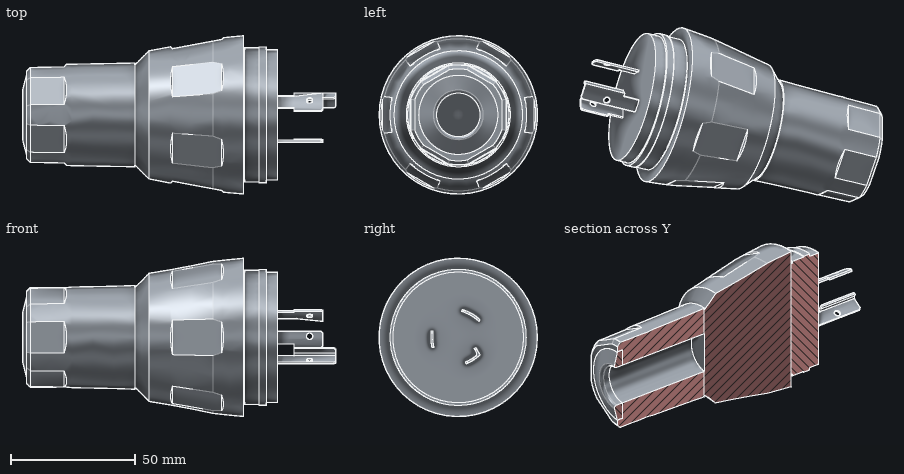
import cadquery as cq
import math


OVERALL_LENGTH = 125.87
SIDES = 6

NUT_FRONT = 1.5
NUT_REAR = 45.15
NUT_FRONT_RADIUS = 20.1
NUT_REAR_RADIUS = 20.9
NUT_CHAMFER = 1.6
NUT_TAPER = (NUT_REAR_RADIUS - NUT_FRONT_RADIUS) / (NUT_REAR - NUT_FRONT)
NUT_FLAT_APOTHEM = 19.1
NUT_FLAT_END = 16.7

GROMMET_RADIUS = 15.9
GROMMET_MOUTH_RADIUS = 10.0
GROMMET_REAR = 4.0
CABLE_BORE_RADIUS = 8.75
LIP_RADIUS = GROMMET_MOUTH_RADIUS - CABLE_BORE_RADIUS

SHOULDER_X = 50.8
SHOULDER_RADIUS = 25.8
SKIRT_X = 76.4
SKIRT_RADIUS = 30.6
HOUSING_REAR = 88.75
HOUSING_REAR_RADIUS = 31.85
SKIRT_BULGE = 0.04
HOUSING_SLOPE = (SKIRT_RADIUS - SHOULDER_RADIUS) / (SKIRT_X - SHOULDER_X)
POCKET_DEPTH = 0.88
POCKET_FRONT = 60.2
POCKET_REAR = 80.0

NECK_RADIUS = 26.15
NECK_LENGTH = 0.4
CARRIER_RADIUS = 27.0
BAND_FRONT = 94.9
BAND_REAR = 97.9
BAND_RADIUS = 27.35
NOSE_RADIUS = 26.25
CARRIER_REAR = 102.45

BLADE_CREST = 11.0
BLADE_OUTER_RADIUS = 18.0
BLADE_THICKNESS = 0.8
BLADE_INNER_RADIUS = BLADE_OUTER_RADIUS - BLADE_THICKNESS
BLADE_CURVE_CENTRE = BLADE_CREST - BLADE_OUTER_RADIUS
BLADE_LOW_EDGE = -2.5
BLADE_STEM_EDGE = 2.75
BLADE_WIDE_EDGE = 4.1
BLADE_STEP_X = 109.0
BLADE_END = 120.6
BLADE_CORNER = 0.7
BLADE_HOLE_X = 115.3
BLADE_HOLE_OFFSET = -0.45
BLADE_HOLE_DIAMETER = 2.5
FLARE_START = 110.0
HOOK_THICKNESS = 0.75
HOOK_TIP = 7.1
HOOK_BEVEL = 0.8

LINE_BLADE_ANGLE = 180.0
FLARED_BLADE_ANGLE = 60.0
GROUND_BLADE_ANGLE = 300.0

CUTTER_REACH = 10.0


def turned(outline):
    """Revolve a closed wire drawn as (X, radius) about the X axis."""
    return outline.revolve(360, (0, 0, 0), (1, 0, 0))


def about_axis(shape, angle):
    return shape.rotate((0, 0, 0), (1, 0, 0), angle)


def cut_all_round(body, profile, width):
    """Cut a straight-sided (X, radius) profile into the body at every side, starting on +Y."""
    cutter = cq.Workplane("XY").polyline(profile).close().extrude(width / 2, both=True)
    for side in range(SIDES):
        body = body.cut(about_axis(cutter, side * 360 / SIDES))
    return body


def make_nut():
    outline = (
        cq.Workplane("XY")
        .moveTo(NUT_FRONT, GROMMET_RADIUS)
        .lineTo(NUT_FRONT, NUT_FRONT_RADIUS - NUT_CHAMFER)
        .lineTo(NUT_FRONT + NUT_CHAMFER, NUT_FRONT_RADIUS)
        .lineTo(NUT_REAR, NUT_REAR_RADIUS)
        .lineTo(NUT_REAR, CABLE_BORE_RADIUS)
        .lineTo(GROMMET_REAR, CABLE_BORE_RADIUS)
        .lineTo(GROMMET_REAR, GROMMET_RADIUS)
        .close()
    )
    flat_start = NUT_FRONT + NUT_CHAMFER
    flat_end_apothem = NUT_FLAT_APOTHEM + NUT_TAPER * (NUT_FLAT_END - flat_start)
    flat = [
        (NUT_FRONT, NUT_FLAT_APOTHEM - NUT_CHAMFER),
        (flat_start, NUT_FLAT_APOTHEM),
        (NUT_FLAT_END, flat_end_apothem),
        (NUT_FLAT_END + CUTTER_REACH, flat_end_apothem + CUTTER_REACH),
        (NUT_FRONT, flat_end_apothem + CUTTER_REACH),
    ]
    return cut_all_round(turned(outline), flat, NUT_FRONT_RADIUS)


def make_grommet():
    lip_middle = LIP_RADIUS * math.sqrt(0.5)
    outline = (
        cq.Workplane("XY")
        .moveTo(0, GROMMET_MOUTH_RADIUS)
        .lineTo(NUT_FRONT, GROMMET_RADIUS)
        .lineTo(GROMMET_REAR, GROMMET_RADIUS)
        .lineTo(GROMMET_REAR, CABLE_BORE_RADIUS)
        .lineTo(LIP_RADIUS, CABLE_BORE_RADIUS)
        .threePointArc(
            (LIP_RADIUS - lip_middle, GROMMET_MOUTH_RADIUS - lip_middle),
            (0, GROMMET_MOUTH_RADIUS),
        )
        .close()
    )
    return turned(outline)


def make_housing():
    front_radius = SHOULDER_RADIUS - (SHOULDER_X - NUT_REAR)
    skirt_middle = (
        (SKIRT_X + HOUSING_REAR) / 2,
        (SKIRT_RADIUS + HOUSING_REAR_RADIUS) / 2 + SKIRT_BULGE,
    )
    outline = (
        cq.Workplane("XY")
        .moveTo(NUT_REAR, 0)
        .lineTo(NUT_REAR, front_radius)
        .lineTo(SHOULDER_X, SHOULDER_RADIUS)
        .lineTo(SKIRT_X, SKIRT_RADIUS)
        .threePointArc(skirt_middle, (HOUSING_REAR, HOUSING_REAR_RADIUS))
        .lineTo(HOUSING_REAR, 0)
        .close()
    )
    floor_drop = POCKET_DEPTH * math.hypot(1, HOUSING_SLOPE)

    def floor_height(x):
        return SHOULDER_RADIUS + HOUSING_SLOPE * (x - SHOULDER_X) - floor_drop

    pocket = [
        (POCKET_FRONT - CUTTER_REACH, floor_height(POCKET_FRONT) + CUTTER_REACH),
        (POCKET_FRONT, floor_height(POCKET_FRONT)),
        (POCKET_REAR, floor_height(POCKET_REAR)),
        (POCKET_REAR + CUTTER_REACH, floor_height(POCKET_REAR) + CUTTER_REACH),
    ]
    return cut_all_round(turned(outline), pocket, SKIRT_RADIUS)


def make_carrier():
    collar_front = HOUSING_REAR + NECK_LENGTH
    outline = (
        cq.Workplane("XY")
        .moveTo(HOUSING_REAR, 0)
        .lineTo(HOUSING_REAR, NECK_RADIUS)
        .lineTo(collar_front, NECK_RADIUS)
        .lineTo(collar_front, CARRIER_RADIUS)
        .lineTo(BAND_FRONT, CARRIER_RADIUS)
        .lineTo(BAND_FRONT, BAND_RADIUS)
        .lineTo(BAND_REAR, BAND_RADIUS)
        .lineTo(BAND_REAR, NOSE_RADIUS)
        .lineTo(CARRIER_REAR, NOSE_RADIUS)
        .lineTo(CARRIER_REAR, 0)
        .close()
    )
    return turned(outline)


def curved_strip(outline):
    """Wrap a blade outline, drawn as (X, sideways), onto the blade curve on its +Y side."""
    plate = cq.Workplane("XZ").polyline(outline).close().extrude(-BLADE_CREST)
    tube = (
        cq.Workplane("YZ")
        .workplane(offset=CARRIER_REAR)
        .center(BLADE_CURVE_CENTRE, 0)
        .circle(BLADE_OUTER_RADIUS)
        .circle(BLADE_INNER_RADIUS)
        .extrude(OVERALL_LENGTH - CARRIER_REAR)
    )
    hole = (
        cq.Workplane("XZ")
        .center(BLADE_HOLE_X, BLADE_HOLE_OFFSET)
        .circle(BLADE_HOLE_DIAMETER / 2)
        .extrude(-BLADE_CREST)
    )
    return plate.intersect(tube).cut(hole)


def stepped_outline(tip):
    """A narrow stem that steps out on one side to a wide blade ending in the given tip points."""
    return [
        (CARRIER_REAR, BLADE_LOW_EDGE),
        *tip,
        (BLADE_STEP_X, BLADE_WIDE_EDGE),
        (BLADE_STEP_X, BLADE_STEM_EDGE),
        (CARRIER_REAR, BLADE_STEM_EDGE),
    ]


def low_corner(end_x):
    return [(end_x - BLADE_CORNER, BLADE_LOW_EDGE), (end_x, BLADE_LOW_EDGE + BLADE_CORNER)]


def wide_corner(end_x):
    return [(end_x, BLADE_WIDE_EDGE - BLADE_CORNER), (end_x - BLADE_CORNER, BLADE_WIDE_EDGE)]


def make_line_blade():
    tip = low_corner(BLADE_END) + wide_corner(BLADE_END)
    return about_axis(curved_strip(stepped_outline(tip)), LINE_BLADE_ANGLE)


def make_flared_blade():
    """The low edge slopes outwards until the blade is as wide on both sides."""
    flare = [(FLARE_START, BLADE_LOW_EDGE), (BLADE_END, -BLADE_WIDE_EDGE)]
    tip = flare + wide_corner(BLADE_END)
    return about_axis(curved_strip(stepped_outline(tip)), FLARED_BLADE_ANGLE)


def make_ground_blade():
    """The longest blade; its wide edge is bent inwards as a hook."""
    tip = low_corner(OVERALL_LENGTH) + [(OVERALL_LENGTH, BLADE_WIDE_EDGE)]
    strip = curved_strip(stepped_outline(tip))
    hook_side = BLADE_WIDE_EDGE - HOOK_THICKNESS

    def height_on(curve_radius, sideways):
        return BLADE_CURVE_CENTRE + math.sqrt(curve_radius**2 - sideways**2)

    middle_radius = BLADE_OUTER_RADIUS - BLADE_THICKNESS / 2

    section = [
        (height_on(middle_radius, BLADE_STEM_EDGE), BLADE_STEM_EDGE),
        (height_on(BLADE_INNER_RADIUS, BLADE_STEM_EDGE), BLADE_STEM_EDGE),
        (height_on(BLADE_INNER_RADIUS, hook_side) - HOOK_BEVEL, hook_side),
        (HOOK_TIP, hook_side),
        (HOOK_TIP, BLADE_WIDE_EDGE),
        (height_on(middle_radius, BLADE_WIDE_EDGE), BLADE_WIDE_EDGE),
    ]
    hook = (
        cq.Workplane("YZ")
        .workplane(offset=BLADE_STEP_X)
        .polyline(section)
        .close()
        .extrude(OVERALL_LENGTH - BLADE_STEP_X)
        .faces("<Y")
        .edges(">X")
        .chamfer(BLADE_CORNER)
    )
    return about_axis(strip.union(hook), GROUND_BLADE_ANGLE)


nut = make_nut()
grommet = make_grommet()
housing = make_housing()
carrier = make_carrier()
line_blade = make_line_blade()
flared_blade = make_flared_blade()
ground_blade = make_ground_blade()

result = cq.Compound.makeCompound(
    [
        nut.val(),
        grommet.val(),
        housing.val(),
        carrier.val(),
        line_blade.val(),
        flared_blade.val(),
        ground_blade.val(),
    ]
)